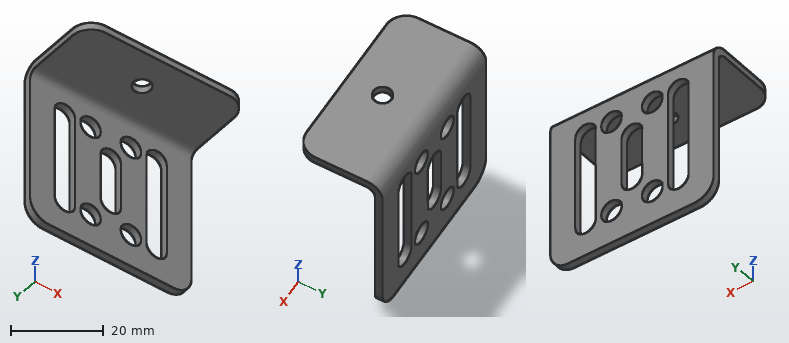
import cadquery as cq

width = 44.0
depth = 22.0
height = 43.0
thickness = 2.0
bend_outer_radius = 4.0
bend_inner_radius = bend_outer_radius - thickness
corner_radius = 5.0

opening_diameter = 5.5
hole_spacing_x = 11.0
hole_spacing_z = 25.0
long_slot_spacing = 25.0
long_slot_length = hole_spacing_z + opening_diameter
center_slot_length = 18.0

flange_hole_diameter = 4.5
flange_hole_from_front = 9.0


def bent_sheet():
    """L-shaped sheet: upright plate at the back, flange reaching forward (-Y)."""
    sheet = (
        cq.Workplane("XY")
        .box(width, depth, height)
        .cut(
            cq.Workplane("XY")
            .box(width, depth, height)
            .translate((0, -thickness, -thickness))
        )
    )
    inner_bend = cq.selectors.NearestToPointSelector(
        (0, depth / 2 - thickness, height / 2 - thickness)
    )
    sheet = sheet.edges(inner_bend).fillet(bend_inner_radius)
    return sheet.edges(">Y and >Z").fillet(bend_outer_radius)


def round_free_corners(sheet):
    """Round the two lower plate corners and the two front flange corners."""
    sheet = sheet.faces("<Z").edges("|Y").fillet(corner_radius)
    return sheet.faces("<Y").edges("|Z").fillet(corner_radius)


def upright_openings():
    """Cutters for the four round holes and three vertical slots."""
    layout = cq.Workplane("XZ")
    holes = (
        layout.rarray(hole_spacing_x, hole_spacing_z, 2, 2)
        .circle(opening_diameter / 2)
        .extrude(depth, both=True)
    )
    long_slots = (
        layout.rarray(long_slot_spacing, 0.45, 2, 1)
        .slot2D(long_slot_length, opening_diameter, 90)
        .extrude(depth, both=True)
    )
    center_slot = layout.slot2D(center_slot_length, opening_diameter, 90).extrude(depth, both=True)
    return holes.union(long_slots).union(center_slot)


def flange_hole():
    """Cutter for the single hole through the top flange."""
    return (
        cq.Workplane("XY")
        .center(0, flange_hole_from_front - depth / 2)
        .circle(flange_hole_diameter / 2)
        .extrude(height)
    )


result = round_free_corners(bent_sheet()).cut(upright_openings()).cut(flange_hole())